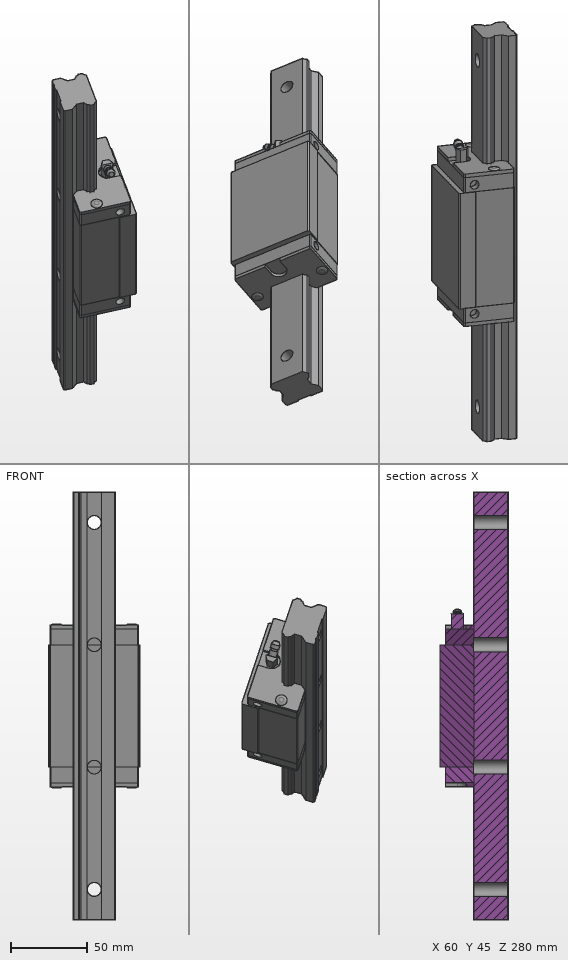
import cadquery as cq
import math

rail_length = 280.0
rail_half_width = 14.0
rail_height = 23.0
rail_foot_chamfer = 0.8
rail_foot_height = 6.0
web_half_width = 10.5
web_bottom = 9.8
web_top = 14.5
lower_groove_half_width = 13.0
lower_groove_bottom = 16.2
head_side_bottom = 18.0
head_side_top = 20.7
crown_half_width = 12.0
groove_sag = 0.35

relief_half_width = 4.8
relief_depth = 0.7
mark_x = -9.5
mark_half_width = 0.8
mark_depth = 0.5

bolt_hole_diameter = 9.0
bolt_hole_pitch = 80.0
bolt_hole_count = 4

carriage_bottom = 6.7
edge_chamfer = 0.8
block_length = bolt_hole_pitch
block_top = 45.0
block_half_width = 30.0
block_step_height = 33.0
block_foot_half_width = 29.5
cap_half_width = 29.0
cap_top = 41.5
cap_thickness = 10.5
seal_thickness = 2.5

side_hole_diameter = 6.0
side_hole_depth = 5.5
side_hole_y = 34.2
side_hole_z = 44.8

slot_width = 11.2

screw_x = 24.5
screw_y = 19.3
screw_base_diameter = 7.5
screw_top_diameter = 3.5
screw_height = 0.8
screw_dome_sag = -0.3

nipple_y = 33.5
hex_sides = 6
hex_across_corners = 8.0
hex_height = 10.0
spout_angle = 28.0
spout_diameter = 5.5
spout_neck_diameter = 4.5
spout_head_diameter = 6.0
spout_tip_diameter = 3.5
spout_shank_length = 3.5
spout_neck_length = 1.5
spout_head_length = 2.8
spout_tip_length = 2.2

cap_start = block_length / 2
seal_start = cap_start + cap_thickness
seal_end = seal_start + seal_thickness
both_sides = (1, -1)


def rail_prism():
    """Rail profile extruded over the full length, without grooves in its foot or holes."""
    end_plane = cq.Workplane("XY").workplane(offset=-rail_length / 2)
    profile = (
        end_plane.moveTo(0, 0)
        .lineTo(rail_half_width - rail_foot_chamfer, 0)
        .lineTo(rail_half_width, rail_foot_chamfer)
        .lineTo(rail_half_width, rail_foot_height)
        .lineTo(web_half_width, web_bottom)
        .lineTo(web_half_width, web_top)
        .lineTo(lower_groove_half_width, lower_groove_bottom)
        .sagittaArc((rail_half_width, head_side_bottom), groove_sag)
        .lineTo(rail_half_width, head_side_top)
        .sagittaArc((crown_half_width, rail_height), groove_sag)
        .lineTo(0, rail_height)
        .mirrorY()
    )
    return profile.extrude(rail_length)


def make_rail():
    rail = rail_prism()
    foot = cq.Workplane("XY").workplane(offset=-rail_length / 2)
    relief = foot.rect(2 * relief_half_width, 2 * relief_depth).extrude(rail_length)
    mark = (
        foot.moveTo(mark_x - mark_half_width, 0)
        .lineTo(mark_x, mark_depth)
        .lineTo(mark_x + mark_half_width, 0)
        .close()
        .extrude(rail_length)
    )
    bolt_holes = (
        cq.Workplane("XZ")
        .rarray(2.8, bolt_hole_pitch, 1, bolt_hole_count)
        .circle(bolt_hole_diameter / 2)
        .extrude(-rail_height)
    )
    return rail.cut(relief).cut(mark).cut(bolt_holes)


def chamfered_plate(half_width, bottom, top, z_start, length):
    """Plate with chamfered long edges, between two heights in Y, extruded along +Z."""
    height = top - bottom
    return (
        cq.Workplane("XY", origin=(0, bottom + height / 2, z_start))
        .rect(2 * half_width, height)
        .extrude(length)
        .edges("|Z")
        .chamfer(edge_chamfer)
    )


def make_block():
    start = -block_length / 2
    upper = chamfered_plate(block_half_width, block_step_height, block_top, start, block_length)
    lower = chamfered_plate(block_foot_half_width, carriage_bottom, cap_top, start, block_length)
    return upper.union(lower).cut(rail_prism())


def make_upper_cap():
    cap = chamfered_plate(cap_half_width, carriage_bottom, cap_top, cap_start, cap_thickness)
    for side in both_sides:
        hole = (
            cq.Workplane("YZ", origin=(side * cap_half_width, side_hole_y, side_hole_z))
            .circle(side_hole_diameter / 2)
            .extrude(-side * side_hole_depth)
        )
        cap = cap.cut(hole)
    return cap.cut(rail_prism())


def screw_head(x):
    """Domed screw head on the outer face of the upper seal, with a small flat top."""
    rim = screw_base_diameter / 2
    flat = screw_top_diameter / 2
    return (
        cq.Workplane("XZ")
        .moveTo(0, 0)
        .lineTo(rim, 0)
        .sagittaArc((flat, screw_height), screw_dome_sag)
        .lineTo(0, screw_height)
        .close()
        .revolve(360, (0, 0, 0), (0, 1, 0))
        .translate((x, screw_y, seal_end))
    )


def make_upper_seal():
    seal = chamfered_plate(cap_half_width, carriage_bottom, cap_top, seal_start, seal_thickness)
    slot_base = cq.Workplane("XY", origin=(0, nipple_y, seal_start))
    slot_round = slot_base.circle(slot_width / 2).extrude(seal_thickness)
    slot_height = cap_top - nipple_y
    slot_straight = (
        slot_base.center(0, slot_height / 2).rect(slot_width, slot_height).extrude(seal_thickness)
    )
    seal = seal.cut(slot_round).cut(slot_straight).cut(rail_prism())
    for side in both_sides:
        seal = seal.union(screw_head(side * screw_x))
    return seal


def make_nipple():
    """Hexagonal post cut obliquely on its +X half, with a turned spout square to the cut."""
    flat_x = hex_across_corners / 2 * math.cos(math.pi / hex_sides)
    top = seal_start + hex_height
    drop = flat_x / math.tan(math.radians(spout_angle))
    post = (
        cq.Workplane("XY", origin=(0, nipple_y, seal_start))
        .transformed(rotate=(0, 0, 90))
        .polygon(hex_sides, hex_across_corners)
        .extrude(hex_height)
    )
    oblique_cut = (
        cq.Workplane("XZ", origin=(0, nipple_y, 0))
        .moveTo(0, top)
        .lineTo(flat_x, top)
        .lineTo(flat_x, top - drop)
        .close()
        .extrude(hex_across_corners, both=True)
    )
    shank_end = spout_shank_length
    neck_end = shank_end + spout_neck_length
    head_end = neck_end + spout_head_length
    tip_end = head_end + spout_tip_length
    spout = (
        cq.Workplane("XY")
        .moveTo(0, 0)
        .lineTo(0, spout_diameter / 2)
        .lineTo(shank_end, spout_diameter / 2)
        .lineTo(shank_end, spout_neck_diameter / 2)
        .lineTo(neck_end, spout_neck_diameter / 2)
        .lineTo(neck_end, spout_head_diameter / 2)
        .lineTo(head_end, spout_head_diameter / 2)
        .lineTo(tip_end, spout_tip_diameter / 2)
        .lineTo(tip_end, 0)
        .close()
        .revolve(360, (0, 0, 0), (1, 0, 0))
        .rotate((0, 0, 0), (0, 1, 0), -spout_angle)
        .translate((flat_x / 2, nipple_y, top - drop / 2))
    )
    return post.cut(oblique_cut).union(spout)


def at_both_ends(upper_body):
    """The body at the +Z end of the carriage and its mirror image at the -Z end."""
    return [upper_body.val(), upper_body.mirror("XY").val()]


rail = make_rail()
block = make_block()
caps = at_both_ends(make_upper_cap())
seals = at_both_ends(make_upper_seal())
nipple = make_nipple()

result = cq.Compound.makeCompound([rail.val(), block.val(), *caps, *seals, nipple.val()])